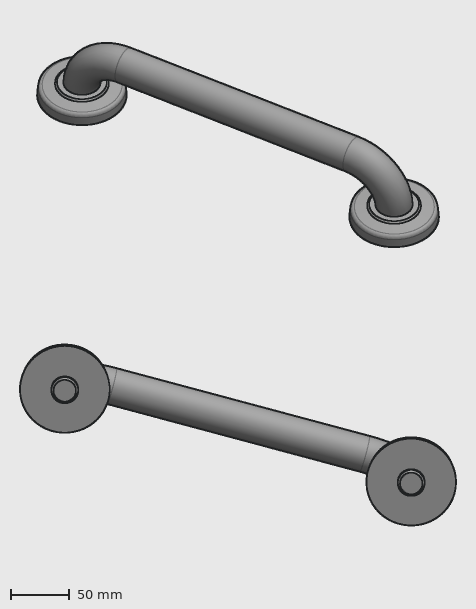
import cadquery as cq

overall_length = 381.0
overall_height = 74.0
flange_diameter = 76.2
flange_spacing = overall_length - flange_diameter
flange_centers = [-flange_spacing / 2, flange_spacing / 2]

bar_diameter = 31.5
bend_radius = 41.0

stud_diameter = 23.0
stud_height = 4.5
stud_chamfer = 2.0

rim_diameter = 74.0
rim_height = 11.5
rim_rounding = 4.0
flange_height = 13.0

collar_diameter = 45.7
collar_top_diameter = 42.3
collar_height = 1.5

flange_bottom = stud_height
flange_top = flange_bottom + flange_height
bar_axis_height = overall_height - bar_diameter / 2
bar_end_height = bar_axis_height - bend_radius


def make_bar():
    """Round bar with a quarter bend at each end, both ends facing down."""
    left_end, right_end = flange_centers
    mid_bend = bend_radius * (1 - 0.5**0.5)
    path = (
        cq.Workplane("XZ")
        .moveTo(left_end, bar_end_height)
        .threePointArc(
            (left_end + mid_bend, bar_axis_height - mid_bend),
            (left_end + bend_radius, bar_axis_height),
        )
        .lineTo(right_end - bend_radius, bar_axis_height)
        .threePointArc(
            (right_end - mid_bend, bar_axis_height - mid_bend),
            (right_end, bar_end_height),
        )
    )
    profile = cq.Workplane("XY", origin=(left_end, 0, bar_end_height)).circle(bar_diameter / 2)
    return profile.sweep(path)


def make_flange(x, bar):
    """Tapered disc with a rounded rim and a seat for the bar end."""
    flange = (
        cq.Workplane("XZ", origin=(x, 0, flange_bottom))
        .lineTo(flange_diameter / 2, 0)
        .lineTo(rim_diameter / 2, rim_height)
        .lineTo(collar_diameter / 2, flange_height)
        .lineTo(0, flange_height)
        .close()
        .revolve(360, (0, 0), (0, 1))
    )
    rim = cq.selectors.RadiusNthSelector(-2)
    return flange.edges("%CIRCLE").edges(rim).fillet(rim_rounding).cut(bar)


def make_collar(x, bar):
    """Low conical ring that fits closely around the bar."""
    collar = (
        cq.Workplane("XZ", origin=(x, 0, flange_top))
        .lineTo(collar_diameter / 2, 0)
        .lineTo(collar_top_diameter / 2, collar_height)
        .lineTo(0, collar_height)
        .close()
        .revolve(360, (0, 0), (0, 1))
    )
    return collar.cut(bar)


def make_stud(x):
    """Short round stud with a chamfered lower end, against the flange's underside."""
    stud = cq.Workplane("XY", origin=(x, 0, 0)).circle(stud_diameter / 2).extrude(stud_height)
    return stud.faces("<Z").edges().chamfer(stud_chamfer)


bar = make_bar()
flanges = [make_flange(x, bar) for x in flange_centers]
collars = [make_collar(x, bar) for x in flange_centers]
studs = [make_stud(x) for x in flange_centers]

bodies = [bar, *flanges, *collars, *studs]
result = cq.Compound.makeCompound([body.val() for body in bodies])